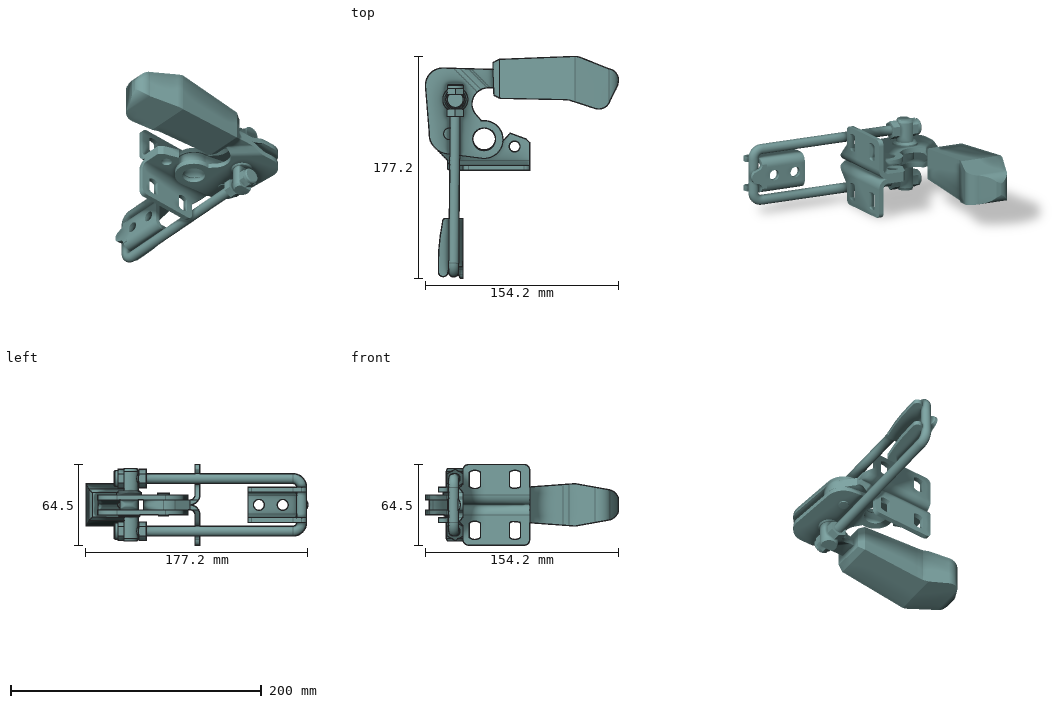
import cadquery as cq
import math


SHEET = 4.0

RIVET_X, RIVET_Y = -4.75, -27.4
RING_X, RING_Y = 23.0, -31.9
RING_HOLE_R = 9.0

LEVER_GAP = SHEET
LEVER_TOP = LEVER_GAP + SHEET
LEVER_CORNER_R = 14.0
LEVER_CORNER_X, LEVER_CORNER_Y = -9.9, 11.2
LEVER_FOOT_R = 16.0
RING_R = 15.1
CUTOUT_X, CUTOUT_Y, CUTOUT_R = 26.2, -3.6, 12.8
ARM_TOP_Y = 24.1
ARM_END_X = 70.0
RIVET_R = 4.1
RIVET_HEAD_R = 4.6
RIVET_TOP = 9.4
RIVET_BOTTOM = -8.8

JOGGLE_START = 16.6
JOGGLE_ANGLE = math.radians(30)
JOGGLE_INNER_R = 3.0
JOGGLE_OUTER_R = JOGGLE_INNER_R + SHEET

WEB_HALF = SHEET
BEND_OUTER_R = 2 * SHEET
FLANGE_LEFT, FLANGE_RIGHT = 6.1, 59.4
FLANGE_FRONT = -56.5
FLANGE_HALF_HEIGHT = 32.25
FLANGE_SLANT_Z = 16.4
WEB_LEFT = FLANGE_LEFT - (FLANGE_SLANT_Z - SHEET)
FLANGE_CORNER_R = 4.5
WEB_BOTTOM = FLANGE_FRONT + BEND_OUTER_R
BASE_HOLE_OFFSET = 0.8
WEB_RING_R = 14.0
TAB_HOLE_X, TAB_HOLE_Y, TAB_HOLE_D = 47.3, -37.5, 8.4
SLOT_X, SLOT_PITCH_X = 31.6, 32.0
SLOT_Z = 20.3
SLOT_WIDTH, SLOT_LENGTH = 8.6, 14.4

SHAFT_R = 7.3
TRUNNION_HALF = 29.0
FLAT_Y = 4.0
COLLAR_R, COLLAR_TOP, COLLAR_CHAMFER = 10.0, 11.0, 1.6
RING_SEAT_R, RING_SEAT_BOTTOM, RING_SEAT_CHAMFER = 8.5, -9.5, 0.6
END_CHAMFER_LENGTH, END_CHAMFER_DEPTH = 2.2, 1.0

ROD_R = 4.0
LEG_Z = 21.0
BOLT_BEND_R = 7.0
BAR_Y = -137.6
BOLT_TILT = -0.55
NUT_FLATS = 13.0
LOCK_HEX_TOP = 8.8
LOCK_COLLAR_TOP = 11.9
LOCK_COLLAR_R = 6.5
LOCK_COLLAR_CHAMFER = 0.8
NUT_FRONT, NUT_BACK = -13.7, -7.7

HOOK_BACK = 6.2
HOOK_HALF_Z = 14.1
HOOK_INNER_R = 2.7
HOOK_TOP = -94.8
HOOK_PLATE_END = -133.3
LOBE_LEFT, LOBE_RIGHT = -13.6, -5.8
LOBE_ROUND_Y = -137.5
HOOK_HOLE_D = 8.5
HOOK_HOLES_Y = (-103.5, -122.5)
TONGUE_ROOT = 9.9
TONGUE_NECK_Y, TONGUE_NECK = -135.6, 6.1
TONGUE_ROUND_Y, TONGUE_END = -139.4, 4.6
TONGUE_TIP_Y = -142.72
TONGUE_BEVEL = 1.8


def prism(wire, z_low, z_high):
    return wire.extrude(z_high - z_low).translate((0, 0, z_low))


def disk(x, y, radius, z_low, z_high):
    return prism(cq.Workplane("XY").center(x, y).circle(radius), z_low, z_high)


def polar(x, y, radius, degrees):
    angle = math.radians(degrees)
    return (x + radius * math.cos(angle), y + radius * math.sin(angle))


def make_base():
    tab_tip = (43.8, -26.8)
    tab_shoulder = (56.3, -31.4)
    web = (
        cq.Workplane("XY")
        .moveTo(RIVET_X - LEVER_FOOT_R, RIVET_Y)
        .threePointArc(
            polar(RIVET_X, RIVET_Y, LEVER_FOOT_R, 135),
            (RIVET_X, RIVET_Y + LEVER_FOOT_R),
        )
        .lineTo(RING_X, RING_Y + WEB_RING_R)
        .threePointArc(
            polar(RING_X, RING_Y, WEB_RING_R, 40),
            polar(RING_X, RING_Y, WEB_RING_R, -10),
        )
        .lineTo(*tab_tip)
        .lineTo(*tab_shoulder)
        .lineTo(FLANGE_RIGHT, tab_shoulder[1] - (FLANGE_RIGHT - tab_shoulder[0]))
        .lineTo(FLANGE_RIGHT, WEB_BOTTOM)
        .lineTo(WEB_LEFT, WEB_BOTTOM)
        .lineTo(-17.8, -36.7)
        .threePointArc((-20.0, -33.0), (RIVET_X - LEVER_FOOT_R, RIVET_Y))
        .close()
    )
    base = prism(web, -WEB_HALF, WEB_HALF)

    half = (
        cq.Workplane("YZ")
        .moveTo(WEB_BOTTOM, 0)
        .radiusArc((FLANGE_FRONT, BEND_OUTER_R), BEND_OUTER_R)
        .lineTo(FLANGE_FRONT, FLANGE_HALF_HEIGHT)
        .lineTo(FLANGE_FRONT + SHEET, FLANGE_HALF_HEIGHT)
        .lineTo(FLANGE_FRONT + SHEET, BEND_OUTER_R)
        .radiusArc((WEB_BOTTOM, SHEET), -(BEND_OUTER_R - SHEET))
        .close()
        .extrude(FLANGE_RIGHT - WEB_LEFT)
        .translate((WEB_LEFT, 0, 0))
    )
    front_shape = (
        cq.Workplane("XZ")
        .moveTo(WEB_LEFT, 0)
        .lineTo(WEB_LEFT, SHEET)
        .lineTo(FLANGE_LEFT, FLANGE_SLANT_Z)
        .lineTo(FLANGE_LEFT, FLANGE_HALF_HEIGHT)
        .lineTo(FLANGE_RIGHT, FLANGE_HALF_HEIGHT)
        .lineTo(FLANGE_RIGHT, 0)
        .close()
        .extrude(-2 * FLANGE_FRONT, both=True)
        .edges("|Y and >Z")
        .fillet(FLANGE_CORNER_R)
    )
    half = half.intersect(front_shape)
    base = base.union(half).union(half.mirror("XY"))

    for x in (SLOT_X - SLOT_PITCH_X / 2, SLOT_X + SLOT_PITCH_X / 2):
        for z in (-SLOT_Z, SLOT_Z):
            round_hole = (
                cq.Workplane("XZ", origin=(x, FLANGE_FRONT + 2 * SHEET, z))
                .circle(SLOT_LENGTH / 2)
                .extrude(3 * SHEET)
            )
            sides = cq.Workplane("XY").box(SLOT_WIDTH, 6 * SHEET, SLOT_LENGTH).translate((x, FLANGE_FRONT, z))
            base = base.cut(round_hole.intersect(sides))

    for x, y, radius in (
        (RIVET_X, RIVET_Y, RIVET_R),
        (RING_X, RING_Y + BASE_HOLE_OFFSET, RING_HOLE_R),
        (TAB_HOLE_X, TAB_HOLE_Y, TAB_HOLE_D / 2),
    ):
        base = base.cut(disk(x, y, radius, -WEB_HALF, WEB_HALF))
    return base


def lever_outline():
    left_lean = 180 + 5.8
    bottom_lean = 270 - 8.0
    return (
        cq.Workplane("XY")
        .moveTo(LEVER_CORNER_X, LEVER_CORNER_Y + LEVER_CORNER_R)
        .threePointArc(
            polar(LEVER_CORNER_X, LEVER_CORNER_Y, LEVER_CORNER_R, 135),
            polar(LEVER_CORNER_X, LEVER_CORNER_Y, LEVER_CORNER_R, left_lean),
        )
        .lineTo(*polar(RIVET_X, RIVET_Y, LEVER_FOOT_R, left_lean))
        .threePointArc(
            polar(RIVET_X, RIVET_Y, LEVER_FOOT_R, 225),
            polar(RIVET_X, RIVET_Y, LEVER_FOOT_R, bottom_lean),
        )
        .lineTo(*polar(RING_X, RING_Y, RING_R, bottom_lean))
        .threePointArc(
            polar(RING_X, RING_Y, RING_R, 0),
            polar(RING_X, RING_Y, RING_R, 98),
        )
        .lineTo(*polar(CUTOUT_X, CUTOUT_Y, CUTOUT_R, 215))
        .threePointArc(
            polar(CUTOUT_X, CUTOUT_Y, CUTOUT_R, 150),
            (CUTOUT_X, CUTOUT_Y + CUTOUT_R),
        )
        .lineTo(ARM_END_X, CUTOUT_Y + CUTOUT_R)
        .lineTo(ARM_END_X, ARM_TOP_Y)
        .lineTo(30.0, ARM_TOP_Y)
        .close()
    )


def joggled_sheet():
    """Upper lever sheet, stepping down by one sheet thickness along the 45 degree direction."""
    reach = 150.0
    slope_run = (
        (LEVER_GAP - (JOGGLE_INNER_R + JOGGLE_OUTER_R) * (1 - math.cos(JOGGLE_ANGLE)))
        / math.tan(JOGGLE_ANGLE)
    )
    run = (JOGGLE_INNER_R + JOGGLE_OUTER_R) * math.sin(JOGGLE_ANGLE) + slope_run

    def face_points(first_r, second_r, height):
        """Start, middle and end of the two bends along one face of the sheet."""
        angles = (0, JOGGLE_ANGLE / 2, JOGGLE_ANGLE)
        first = [
            (JOGGLE_START + first_r * math.sin(a), height - first_r * (1 - math.cos(a)))
            for a in angles
        ]
        second = [
            (JOGGLE_START + run - second_r * math.sin(a), height - LEVER_GAP + second_r * (1 - math.cos(a)))
            for a in reversed(angles)
        ]
        return first + second

    top = face_points(JOGGLE_OUTER_R, JOGGLE_INNER_R, LEVER_TOP)
    low = face_points(JOGGLE_INNER_R, JOGGLE_OUTER_R, LEVER_GAP)
    section = (
        cq.Workplane("XZ")
        .moveTo(-reach, LEVER_TOP)
        .lineTo(*top[0])
        .threePointArc(top[1], top[2])
        .lineTo(*top[3])
        .threePointArc(top[4], top[5])
        .lineTo(reach, LEVER_GAP)
        .lineTo(reach, 0)
        .lineTo(*low[5])
        .threePointArc(low[4], low[3])
        .lineTo(*low[2])
        .threePointArc(low[1], low[0])
        .lineTo(-reach, LEVER_GAP)
        .close()
    )
    return section.extrude(reach, both=True).rotate((0, 0, 0), (0, 0, 1), 45)


def make_lever():
    upper = prism(lever_outline(), 0, LEVER_TOP).intersect(joggled_sheet())
    lever = upper.union(upper.mirror("XY"))
    lever = lever.cut(disk(RING_X, RING_Y, RING_HOLE_R, -LEVER_TOP, LEVER_TOP))
    lever = lever.cut(disk(0, 0, SHAFT_R, -LEVER_TOP, LEVER_TOP))
    rivet = disk(RIVET_X, RIVET_Y, RIVET_R, RIVET_BOTTOM, LEVER_TOP)
    head = disk(RIVET_X, RIVET_Y, RIVET_HEAD_R, LEVER_TOP, RIVET_TOP)
    return lever.union(rivet).union(head)


def make_grip(lever):
    plan = (
        cq.Workplane("XY")
        .moveTo(29.9, 29.4)
        .lineTo(35.1, 32.1)
        .lineTo(95.5, 34.45)
        .threePointArc((98.5, 34.0), (101.5, 32.9))
        .lineTo(122.3, 24.6)
        .threePointArc((128.1, 21.3), (130.3, 15.4))
        .lineTo(129.7, 11.6)
        .lineTo(123.4, -1.0)
        .threePointArc((118.5, -6.7), (111.4, -7.2))
        .lineTo(90.8, -0.5)
        .lineTo(85.8, -0.2)
        .lineTo(35.7, 0.8)
        .lineTo(30.7, 3.3)
        .close()
    )
    elevation = cq.Workplane("XZ").moveTo(29.9, 9.7)
    elevation = (
        elevation.lineTo(35.3, 12.6)
        .lineTo(95.5, 17.0)
        .lineTo(122.4, 12.2)
        .threePointArc((127.7, 9.4), (130.4, 4.4))
        .lineTo(130.4, -4.4)
        .threePointArc((127.7, -9.4), (122.4, -12.2))
        .lineTo(95.5, -17.0)
        .lineTo(35.3, -12.6)
        .lineTo(29.9, -9.7)
        .close()
    )
    grip = prism(plan, -30, 30).intersect(elevation.extrude(60, both=True))
    return grip.cut(lever)


def make_trunnion():
    shaft_profile = (
        cq.Workplane("XZ")
        .moveTo(0, -TRUNNION_HALF)
        .lineTo(SHAFT_R - END_CHAMFER_DEPTH, -TRUNNION_HALF)
        .lineTo(SHAFT_R, -TRUNNION_HALF + END_CHAMFER_LENGTH)
        .lineTo(SHAFT_R, TRUNNION_HALF - END_CHAMFER_LENGTH)
        .lineTo(SHAFT_R - END_CHAMFER_DEPTH, TRUNNION_HALF)
        .lineTo(0, TRUNNION_HALF)
        .close()
    )
    trunnion = shaft_profile.revolve(360, (0, 0, 0), (0, 1, 0))
    for low, high in ((COLLAR_TOP, TRUNNION_HALF), (-TRUNNION_HALF, RING_SEAT_BOTTOM)):
        size = 4 * SHAFT_R
        beyond_flat = cq.Workplane("XY").box(size, size, high - low).translate(
            (0, FLAT_Y + size / 2, (low + high) / 2)
        )
        trunnion = trunnion.cut(beyond_flat)

    collar = disk(0, 0, COLLAR_R, LEVER_TOP, COLLAR_TOP).faces(">Z").chamfer(COLLAR_CHAMFER)
    seat = disk(0, 0, RING_SEAT_R, RING_SEAT_BOTTOM, -LEVER_TOP).faces("<Z").chamfer(RING_SEAT_CHAMFER)
    trunnion = trunnion.union(collar).union(seat)
    for z in (-LEG_Z, LEG_Z):
        leg_hole = cq.Workplane("XZ", origin=(0, 0, z)).circle(ROD_R).extrude(2 * SHAFT_R, both=True)
        trunnion = trunnion.cut(leg_hole)
    return trunnion.rotate((0, 0, 0), (0, 0, 1), BOLT_TILT)


def round_along_y(radius, z, y_front, y_back):
    return cq.Workplane("XZ", origin=(0, y_back, z)).circle(radius).extrude(y_back - y_front)


def hex_along_y(z, y_front, y_back):
    corners = NUT_FLATS / math.cos(math.radians(30))
    nut = cq.Workplane("XZ").polygon(6, corners).extrude(y_back - y_front)
    return nut.rotate((0, 0, 0), (0, 1, 0), 90).translate((0, y_back, z))


def make_u_bolt():
    bend_y = BAR_Y + BOLT_BEND_R
    bend_z = LEG_Z - BOLT_BEND_R
    mid = BOLT_BEND_R * math.sqrt(0.5)
    path = (
        cq.Workplane("YZ")
        .moveTo(LOCK_COLLAR_TOP, LEG_Z)
        .lineTo(bend_y, LEG_Z)
        .threePointArc((bend_y - mid, bend_z + mid), (BAR_Y, bend_z))
        .lineTo(BAR_Y, -bend_z)
        .threePointArc((bend_y - mid, -bend_z - mid), (bend_y, -LEG_Z))
        .lineTo(LOCK_COLLAR_TOP, -LEG_Z)
    )
    bolt = cq.Workplane("XZ", origin=(0, LOCK_COLLAR_TOP, LEG_Z)).circle(ROD_R).sweep(path)
    for z in (-LEG_Z, LEG_Z):
        collar = round_along_y(LOCK_COLLAR_R, z, LOCK_HEX_TOP, LOCK_COLLAR_TOP)
        collar = collar.faces(">Y").edges().chamfer(LOCK_COLLAR_CHAMFER)
        bolt = bolt.union(hex_along_y(z, FLAT_Y, LOCK_HEX_TOP)).union(collar)
        bolt = bolt.union(hex_along_y(z, NUT_FRONT, NUT_BACK))
    return bolt.rotate((0, 0, 0), (0, 0, 1), BOLT_TILT)


def make_hook(u_bolt):
    outer_r = HOOK_INNER_R + SHEET
    depth = HOOK_BACK - LOBE_LEFT
    bar_x = BAR_Y * math.sin(math.radians(-BOLT_TILT))
    lobe_r = (LOBE_RIGHT - LOBE_LEFT) / 2
    length = HOOK_TOP - LOBE_ROUND_Y + lobe_r
    centre = ((LOBE_LEFT + HOOK_BACK) / 2, HOOK_TOP - length / 2, 0)

    channel = cq.Workplane("XY").box(depth, length, 2 * HOOK_HALF_Z).edges("|Y and >X").fillet(outer_r)
    inside = (
        cq.Workplane("XY")
        .box(depth, length, 2 * (HOOK_HALF_Z - SHEET))
        .edges("|Y and >X")
        .fillet(HOOK_INNER_R)
        .translate((-SHEET, 0, 0))
    )
    channel = channel.cut(inside).translate(centre)

    notch_r = bar_x - LOBE_RIGHT
    notch = (bar_x, HOOK_PLATE_END - notch_r)
    side = (
        cq.Workplane("XY")
        .moveTo(HOOK_BACK, HOOK_TOP)
        .lineTo(HOOK_BACK, HOOK_PLATE_END)
        .lineTo(bar_x, HOOK_PLATE_END)
        .threePointArc(polar(*notch, notch_r, 135), (LOBE_RIGHT, notch[1]))
        .lineTo(LOBE_RIGHT, LOBE_ROUND_Y)
        .threePointArc((LOBE_RIGHT - lobe_r, LOBE_ROUND_Y - lobe_r), (LOBE_LEFT, LOBE_ROUND_Y))
        .lineTo(LOBE_LEFT, -131.0)
        .threePointArc((-12.75, -114.2), (-10.2, -97.6))
        .threePointArc((-9.6, -95.6), (-8.2, HOOK_TOP))
        .close()
    )
    hook = channel.intersect(prism(side, -HOOK_HALF_Z, HOOK_HALF_Z))

    neck_run = HOOK_PLATE_END - TONGUE_NECK_Y
    neck_drop = TONGUE_ROOT - TONGUE_NECK
    shoulder_r = (neck_run**2 + neck_drop**2) / (2 * neck_run)
    root_y = HOOK_PLATE_END + SHEET
    tongue = (
        cq.Workplane("YZ", origin=(HOOK_BACK - SHEET, 0, 0))
        .moveTo(root_y, TONGUE_ROOT)
        .lineTo(HOOK_PLATE_END, TONGUE_ROOT)
        .radiusArc((TONGUE_NECK_Y, TONGUE_NECK), shoulder_r)
        .lineTo(TONGUE_ROUND_Y, TONGUE_END)
        .threePointArc((TONGUE_TIP_Y, 0), (TONGUE_ROUND_Y, -TONGUE_END))
        .lineTo(TONGUE_NECK_Y, -TONGUE_NECK)
        .radiusArc((HOOK_PLATE_END, -TONGUE_ROOT), shoulder_r)
        .lineTo(root_y, -TONGUE_ROOT)
        .close()
        .extrude(SHEET)
    )
    bevel = (
        cq.Workplane("XY")
        .moveTo(HOOK_BACK - SHEET, TONGUE_ROUND_Y)
        .lineTo(HOOK_BACK - SHEET, TONGUE_TIP_Y)
        .lineTo(HOOK_BACK - SHEET + TONGUE_BEVEL, TONGUE_TIP_Y)
        .close()
    )
    tongue = tongue.cut(prism(bevel, -HOOK_HALF_Z, HOOK_HALF_Z))
    hook = hook.union(tongue)
    for y in HOOK_HOLES_Y:
        hole = cq.Workplane("YZ", origin=(0, y, 0)).circle(HOOK_HOLE_D / 2).extrude(2 * HOOK_BACK)
        hook = hook.cut(hole)
    return hook.cut(u_bolt)


base = make_base()
lever = make_lever()
grip = make_grip(lever)
trunnion = make_trunnion()
u_bolt = make_u_bolt()
hook = make_hook(u_bolt)

result = cq.Compound.makeCompound(
    [base.val(), lever.val(), grip.val(), trunnion.val(), u_bolt.val(), hook.val()]
)